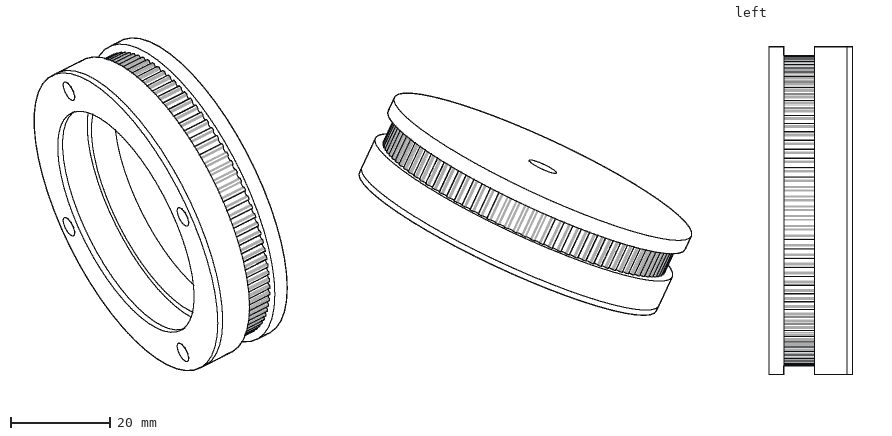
import cadquery as cq
import math

OUTER_DIAMETER = 66.0
TOTAL_WIDTH = 16.9

BACK_FLANGE_WIDTH = 3.05
BELT_WIDTH = 6.15
COVER_THICKNESS = 1.2

TOOTH_COUNT = 99
TOOTH_TIP_RADIUS = 31.2
GROOVE_DEPTH = 0.7
ROOT_RADIUS = 0.555
FLANK_RADIUS = 1.0
LIP_RADIUS = 0.15

SHAFT_HOLE_DIAMETER = 6.0
COVER_OPENING_DIAMETER = 49.0
INNER_BORE_DIAMETER = 49.0
SEAT_DIAMETER = 52.0
FLOOR_THICKNESS = 3.05
SEAT_DEPTH = 7.0

SCREW_HOLE_DIAMETER = 1.8
COUNTERSINK_DIAMETER = 4.1
COUNTERSINK_ANGLE = 90.0
SCREW_SPACING = 40.9
SCREW_HOLE_DEPTH = 6.0

FRONT_Y = -TOTAL_WIDTH / 2
BACK_Y = TOTAL_WIDTH / 2
COVER_BACK_Y = FRONT_Y + COVER_THICKNESS
BELT_BACK_Y = BACK_Y - BACK_FLANGE_WIDTH
BELT_FRONT_Y = BELT_BACK_Y - BELT_WIDTH
SEAT_END_Y = COVER_BACK_Y + SEAT_DEPTH
FLOOR_Y = BACK_Y - FLOOR_THICKNESS


def plane_at(y):
    """Sketch plane at place y whose normal points to +Y."""
    return cq.Workplane(cq.Plane(origin=(0, y, 0), xDir=(1, 0, 0), normal=(0, 1, 0)))


def disc(diameter, start_y, end_y):
    """Cylinder about the Y axis between two places along Y."""
    return plane_at(start_y).circle(diameter / 2).extrude(end_y - start_y)


def at_screws(plane):
    """The four screw places, at the corners of a square, on a sketch plane."""
    return plane.rect(SCREW_SPACING, SCREW_SPACING, forConstruction=True).vertices()


def turned(side, outward, angle):
    """Point beside and outward of the axis at +Z, turned by an angle about Y, for plane_at."""
    return (
        side * math.cos(angle) + outward * math.sin(angle),
        side * math.sin(angle) - outward * math.cos(angle),
    )


def toothed_track():
    """Belt track with rounded grooves, one of them at +Z, between flat-topped teeth.

    Each half of a groove is a lip arc, a flank arc and half of the root arc, all tangent.
    The left flank arc is centred right of the groove's middle, level with the tooth tops.
    """
    root_centre_depth = GROOVE_DEPTH - ROOT_RADIUS
    centre_distance = FLANK_RADIUS - ROOT_RADIUS
    flank_offset = math.sqrt(centre_distance**2 - root_centre_depth**2)

    lip_reach = FLANK_RADIUS + LIP_RADIUS
    lip_angle = math.asin(LIP_RADIUS / lip_reach)
    mouth_half_width = lip_reach * math.cos(lip_angle) - flank_offset
    lip_turn = (math.pi / 2 - lip_angle) / 2
    root_angle = math.asin(root_centre_depth / centre_distance)
    flank_middle_angle = (lip_angle + root_angle) / 2

    lip_middle = (
        mouth_half_width - LIP_RADIUS * math.sin(lip_turn),
        LIP_RADIUS * (1 - math.cos(lip_turn)),
    )
    lip_end = (
        FLANK_RADIUS * math.cos(lip_angle) - flank_offset,
        FLANK_RADIUS * math.sin(lip_angle),
    )
    flank_middle = (
        FLANK_RADIUS * math.cos(flank_middle_angle) - flank_offset,
        FLANK_RADIUS * math.sin(flank_middle_angle),
    )
    flank_end = (
        FLANK_RADIUS * math.cos(root_angle) - flank_offset,
        FLANK_RADIUS * math.sin(root_angle),
    )

    def groove_points(tooth):
        angle = 2 * math.pi * tooth / TOOTH_COUNT
        half = [(mouth_half_width, 0), lip_middle, lip_end, flank_middle, flank_end]
        whole = [(-side, depth) for side, depth in half] + [(0, GROOVE_DEPTH)] + half[::-1]
        return [turned(side, TOOTH_TIP_RADIUS - depth, angle) for side, depth in whole]

    first_point = groove_points(0)[0]
    outline = plane_at(BELT_FRONT_Y).moveTo(*first_point)
    for tooth in range(TOOTH_COUNT):
        points = groove_points(tooth)
        if tooth > 0:
            outline = outline.lineTo(*points[0])
        for middle, end in zip(points[1::2], points[2::2]):
            outline = outline.threePointArc(middle, end)
    return outline.close().extrude(BELT_WIDTH)


def make_pulley():
    """Toothed belt wheel with two flanges, a stepped bore open to -Y and a floor at the back."""
    pulley = disc(OUTER_DIAMETER, COVER_BACK_Y, BELT_FRONT_Y)
    pulley = pulley.union(toothed_track())
    pulley = pulley.union(disc(OUTER_DIAMETER, BELT_BACK_Y, BACK_Y))
    pulley = pulley.cut(disc(SEAT_DIAMETER, COVER_BACK_Y, SEAT_END_Y))
    pulley = pulley.cut(disc(INNER_BORE_DIAMETER, SEAT_END_Y, FLOOR_Y))
    pulley = pulley.cut(disc(SHAFT_HOLE_DIAMETER, FLOOR_Y, BACK_Y))
    screw_holes = at_screws(plane_at(COVER_BACK_Y)).circle(SCREW_HOLE_DIAMETER / 2).extrude(SCREW_HOLE_DEPTH)
    return pulley.cut(screw_holes)


def make_cover():
    """Thin ring on the front of the pulley, with four countersunk screw holes."""
    cover = disc(OUTER_DIAMETER, FRONT_Y, COVER_BACK_Y)
    cover = cover.cut(disc(COVER_OPENING_DIAMETER, FRONT_Y, COVER_BACK_Y))
    front = cover.faces("<Y").workplane(origin=(0, FRONT_Y, 0))
    return at_screws(front).cskHole(SCREW_HOLE_DIAMETER, COUNTERSINK_DIAMETER, COUNTERSINK_ANGLE)


pulley = make_pulley()
cover = make_cover()
result = cq.Compound.makeCompound([pulley.val(), cover.val()])